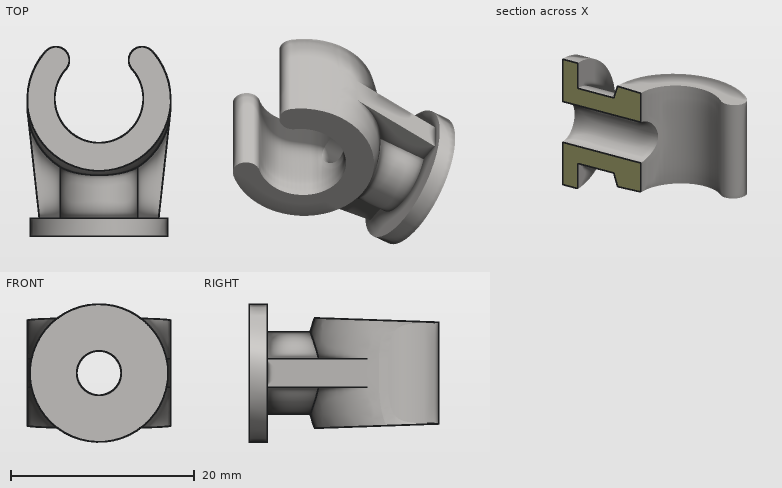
import cadquery as cq
import math


bore_radius = 4.8
wall = 2.94
outer_radius = bore_radius + wall
middle_radius = bore_radius + wall / 2
tip_radius = wall / 2
arm_end_y = 5.64
tip_center_y = arm_end_y - tip_radius
tip_center_x = math.sqrt(middle_radius**2 - tip_center_y**2)

front_half_height = 6.0
taper_angle = 2.0
taper_slope = math.tan(math.radians(taper_angle))
axis_half_height = front_half_height - outer_radius * taper_slope

bulge_radius = 7.805
bulge_middle_shift = 0.9
bulge_end_shift = 0.06
bulge_exponent = 3
bulge_steps = 4

flange_radius = 7.5
flange_thickness = 2.0
flange_face_y = -15.0
flange_back_y = flange_face_y + flange_thickness
stem_radius = 4.5
hole_radius = 2.4

web_thickness = 3.07
web_half_width = 6.5
web_end_y = -2.18


def polar(radius, direction):
    """Point at the given radius along the direction of a point (x, y)."""
    scale = radius / math.hypot(*direction)
    return (direction[0] * scale, direction[1] * scale)


def make_clip():
    """C-shaped ring with rounded arm ends and flat end faces, before tapering."""
    right_tip = (tip_center_x, tip_center_y)
    left_tip = (-tip_center_x, tip_center_y)
    end_x = tip_center_x - tip_radius * tip_center_y / middle_radius
    end_y = tip_center_y + tip_radius * tip_center_x / middle_radius
    return (
        cq.Workplane("XY")
        .moveTo(*polar(outer_radius, right_tip))
        .threePointArc((0, -outer_radius), polar(outer_radius, left_tip))
        .threePointArc((-end_x, end_y), polar(bore_radius, left_tip))
        .threePointArc((0, -bore_radius), polar(bore_radius, right_tip))
        .threePointArc((end_x, end_y), polar(outer_radius, right_tip))
        .close()
        .extrude(front_half_height, both=True)
    )


def bulge_shift(height_fraction):
    """Shift of the bulge toward the flange; 0 is mid height and 1 an end face."""
    bend = bulge_middle_shift - bulge_end_shift
    return bulge_middle_shift - bend * abs(height_fraction) ** bulge_exponent


def make_bulge():
    """Bent cylinder lofted through tilted circles, open toward the mouth."""
    sections = []
    for index in range(-bulge_steps, bulge_steps + 1):
        fraction = index / bulge_steps
        shift = bulge_shift(fraction)
        slope = taper_slope * fraction
        center = cq.Vector(0, -shift, axis_half_height * fraction + shift * slope)
        sections.append(cq.Wire.makeCircle(bulge_radius, center, cq.Vector(0, slope, 1)))
    reach = 2
    mouth_x = reach * tip_center_x
    mouth_y = reach * tip_center_y
    mouth = (
        cq.Workplane("XY")
        .polyline([(0, 0), (mouth_x, mouth_y), (-mouth_x, mouth_y)])
        .close()
        .extrude(2 * front_half_height, both=True)
    )
    return cq.Workplane(cq.Solid.makeLoft(sections)).cut(mouth)


def make_taper_envelope():
    """Wedge that gives the ring its two sloping end faces."""
    reach = 2 * outer_radius
    front_z = axis_half_height + taper_slope * reach
    rear_z = axis_half_height - taper_slope * reach
    return (
        cq.Workplane("YZ")
        .polyline([(-reach, -front_z), (reach, -rear_z), (reach, rear_z), (-reach, front_z)])
        .close()
        .extrude(reach, both=True)
    )


def make_web():
    """Flat web that widens from the flange to meet the bulge surface."""
    half_thickness = web_thickness / 2
    bulge_center_y = -bulge_shift(half_thickness / axis_half_height)
    end_half_width = math.sqrt(bulge_radius**2 - (web_end_y - bulge_center_y) ** 2)
    return (
        cq.Workplane("XY")
        .polyline([
            (-web_half_width, flange_back_y),
            (web_half_width, flange_back_y),
            (end_half_width, web_end_y),
            (-end_half_width, web_end_y),
        ])
        .close()
        .extrude(half_thickness, both=True)
    )


def cylinder_along_y(radius, start_y, end_y):
    """Cylinder on the Y axis that runs toward +Y from start_y to end_y."""
    return cq.Workplane("XZ", origin=(0, start_y, 0)).circle(radius).extrude(start_y - end_y)


bore = cq.Workplane("XY").circle(bore_radius).extrude(flange_radius, both=True)
ring = make_clip().intersect(make_taper_envelope()).union(make_bulge())
flange = cylinder_along_y(flange_radius, flange_face_y, flange_back_y)
stem = cylinder_along_y(stem_radius, flange_back_y, -bore_radius / 2)
hole = cylinder_along_y(hole_radius, flange_face_y, 0)

result = ring.union(make_web()).union(stem).union(flange).cut(bore).cut(hole)